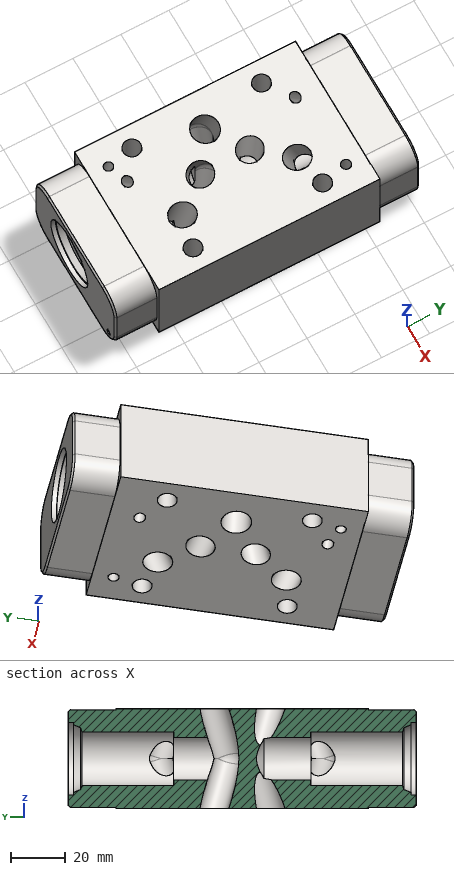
import cadquery as cq
import math

BODY_WIDTH = 63.5
BODY_LENGTH = 92.1
BODY_HEIGHT = 36.53
HALF_HEIGHT = BODY_HEIGHT / 2

OVERALL_LENGTH = 127.0
END_Y = -OVERALL_LENGTH / 2
CAP_WIDTH = 60.3
CAP_HEIGHT = 35.7
CAP_CORNER_RADIUS = 9.5
CAP_CHAMFER = 0.8

PORT_X = -4.25
PORT_MOUTH_DIAMETER = 27.6
PORT_SEAL_DIAMETER = 26.0
PORT_SEAT_DIAMETER = 24.0
PORT_BORE_DIAMETER = 21.2
PORT_DRILL_DIAMETER = 17.6
PORT_MOUTH_DEPTH = 1.9
PORT_SEAT_DEPTH = 4.5
PORT_BORE_START = 5.0
PORT_BORE_DEPTH = 38.5
PORT_DRILL_DEPTH = 55.5
DRILL_HALF_ANGLE = 59.0

BOLT_DIAMETER = 7.2
BOLT_X = 23.0
BOLT_Y = 27.0
PIN_DIAMETER = 4.0
PIN_X = 20.6
PIN_Y = 38.1

TANK_PASSAGE_DIAMETER = 11.1
TANK_PASSAGE = ((-16.7, 0.0), (-5.4, 0.0))
PASSAGE_DIAMETER = 10.4
PASSAGES = [
    ((-1.6, -10.3), (-5.2, 5.2)),
    ((-1.6, 10.3), (5.2, -5.2)),
    ((9.5, -23.9), (0.0, -5.8)),
    ((9.5, 23.9), (0.0, 5.8)),
]
PILOT_DIAMETER = 4.2
PILOT_PASSAGES = [
    ((-12.0, -35.0), (-10.5, 0.0)),
    ((-12.0, 35.0), (-10.5, 0.0)),
]
DRAIN_DIAMETER = 3.75
DRAIN_PASSAGE = ((-PIN_X, -PIN_Y), (0.0, -4.8))

MARK_X = 25.4
MARK_Z = -12.0
MARK_DIAMETER = 2.4
MARK_DEPTH = 1.5


def drill_point_length(diameter):
    return diameter / 2 / math.tan(math.radians(DRILL_HALF_ANGLE))


def make_end_caps():
    """One rounded bar running the full length; its ends stand out of the body as caps."""
    bar = cq.Workplane("XZ").rect(CAP_WIDTH, CAP_HEIGHT).extrude(OVERALL_LENGTH / 2, both=True)
    return bar.edges("|Y").fillet(CAP_CORNER_RADIUS).faces("<Y or >Y").chamfer(CAP_CHAMFER)


def make_end_port():
    """Stepped port revolved about Y, entering from the -Y end."""
    drill_end = END_Y + PORT_DRILL_DEPTH
    profile = [
        (0, END_Y),
        (PORT_MOUTH_DIAMETER / 2, END_Y),
        (PORT_MOUTH_DIAMETER / 2, END_Y + PORT_MOUTH_DEPTH),
        (PORT_SEAL_DIAMETER / 2, END_Y + PORT_MOUTH_DEPTH),
        (PORT_SEAT_DIAMETER / 2, END_Y + PORT_SEAT_DEPTH),
        (PORT_BORE_DIAMETER / 2, END_Y + PORT_BORE_START),
        (PORT_BORE_DIAMETER / 2, END_Y + PORT_BORE_DEPTH),
        (PORT_DRILL_DIAMETER / 2, END_Y + PORT_BORE_DEPTH),
        (PORT_DRILL_DIAMETER / 2, drill_end),
        (0, drill_end + drill_point_length(PORT_DRILL_DIAMETER)),
    ]
    port = cq.Workplane("XY").polyline(profile).close().revolve(360, (0, 0), (0, 1))
    return port.translate((PORT_X, 0, 0))


def make_vertical_hole(x, y, diameter):
    """Through hole along Z."""
    return cq.Workplane("XY").center(x, y).circle(diameter / 2).extrude(HALF_HEIGHT, both=True)


def make_bent_passage(passage, diameter):
    """Two slanted legs, mirrored about mid-height and joined by a ball-shaped elbow."""
    (x, y), (shift_x, shift_y) = passage
    start = cq.Vector(x, y, HALF_HEIGHT)
    slant = cq.Vector(shift_x, shift_y, -HALF_HEIGHT)
    leg = cq.Workplane(cq.Solid.makeCylinder(diameter / 2, 2 * slant.Length, start - slant, slant))
    elbow = cq.Workplane("XY").sphere(diameter / 2).translate((x + shift_x, y + shift_y, 0))
    return leg.union(leg.mirror("XY")).union(elbow)


def make_mark():
    """Blind hole with a drill point, entering from the -Y end."""
    radius = MARK_DIAMETER / 2
    tip_y = END_Y + MARK_DEPTH + drill_point_length(MARK_DIAMETER)
    profile = [(0, END_Y), (radius, END_Y), (radius, END_Y + MARK_DEPTH), (0, tip_y)]
    mark = cq.Workplane("XY").polyline(profile).close().revolve(360, (0, 0), (0, 1))
    return mark.translate((MARK_X, 0, MARK_Z))


result = cq.Workplane("XY").box(BODY_WIDTH, BODY_LENGTH, BODY_HEIGHT).union(make_end_caps())

end_port = make_end_port()
result = result.cut(end_port).cut(end_port.mirror("XZ"))

for side_x in (-1, 1):
    for side_y in (-1, 1):
        result = result.cut(make_vertical_hole(side_x * BOLT_X, side_y * BOLT_Y, BOLT_DIAMETER))
result = result.cut(make_vertical_hole(PIN_X, PIN_Y, PIN_DIAMETER))

result = result.cut(make_bent_passage(TANK_PASSAGE, TANK_PASSAGE_DIAMETER))
for passage in PASSAGES:
    result = result.cut(make_bent_passage(passage, PASSAGE_DIAMETER))
for pilot_passage in PILOT_PASSAGES:
    result = result.cut(make_bent_passage(pilot_passage, PILOT_DIAMETER))
result = result.cut(make_bent_passage(DRAIN_PASSAGE, DRAIN_DIAMETER))

result = result.cut(make_mark())